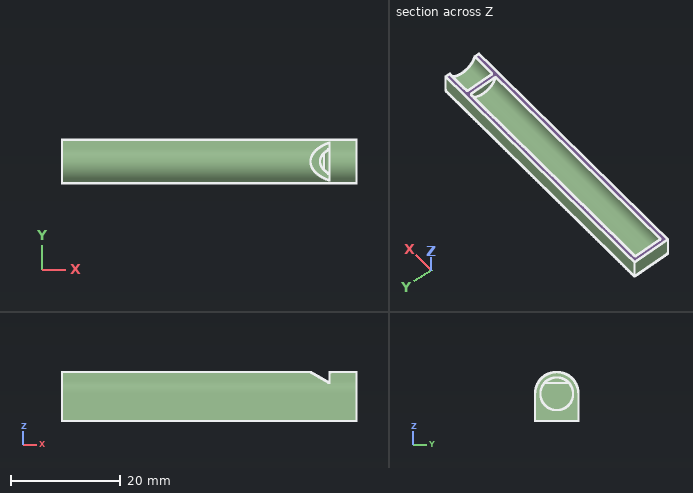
import cadquery as cq
import math

length = 54.0
width = 8.0
height = 9.0
half_width = width / 2
axis_height = height - half_width

bore_diameter = 6.0
bore_radius = bore_diameter / 2
wall_thickness = half_width - bore_radius

mouth_length = 5.0
window_wall_x = length - mouth_length
window_depth = 2.0
lip_angle = 30.0
lip_run = window_depth / math.tan(math.radians(lip_angle))
window_bottom = height - window_depth

divider_thickness = wall_thickness
divider_start_x = window_wall_x - divider_thickness
divider_top = window_bottom
divider_shoulder = divider_top - divider_thickness


def make_body():
    return (
        cq.Workplane("YZ")
        .moveTo(-half_width, 0)
        .lineTo(half_width, 0)
        .lineTo(half_width, axis_height)
        .threePointArc((0, height), (-half_width, axis_height))
        .close()
        .extrude(length)
    )


def make_bore():
    return (
        cq.Workplane("YZ", origin=(wall_thickness, 0, axis_height))
        .circle(bore_radius)
        .extrude(length - wall_thickness)
    )


def make_window():
    return (
        cq.Workplane("XZ")
        .moveTo(window_wall_x - lip_run, height)
        .lineTo(window_wall_x, window_bottom)
        .lineTo(window_wall_x, height)
        .close()
        .extrude(half_width, both=True)
    )


def make_divider(bore):
    arc_inset = divider_thickness * (1 - math.sqrt(0.5))
    slab = (
        cq.Workplane("XZ")
        .moveTo(divider_start_x, 0)
        .lineTo(divider_start_x, divider_shoulder)
        .threePointArc(
            (divider_start_x + arc_inset, divider_top - arc_inset),
            (window_wall_x, divider_top),
        )
        .lineTo(window_wall_x, 0)
        .close()
        .extrude(half_width, both=True)
    )
    return slab.intersect(bore)


bore = make_bore()
result = make_body().cut(bore).cut(make_window()).union(make_divider(bore))